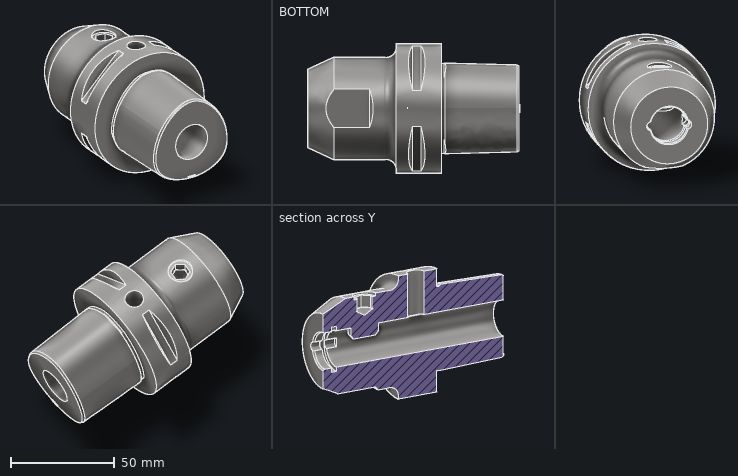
import cadquery as cq
import math


NOSE_DIA = 38.1
BODY_DIA = 50.0
NECK_DIA = 49.6
FLANGE_DIA = 63.0
NOSE_CONE_LENGTH = 12.8
BODY_END = 37.1
NECK_START = 38.0
FLANGE_START = 43.0
FLANGE_WIDTH = 22.0
FLANGE_END = FLANGE_START + FLANGE_WIDTH
NECK_FILLET = FLANGE_START - NECK_START

FLAT_HEIGHT = 23.2
FLAT_END = 30.0

REAR_FACE = 102.7
SHANK_RADIUS = 22.0
LOBE_HEIGHT = 1.2
LOBES = 3
SECTION_STEPS = 24
RADIUS_TAPER = 1 / 40
LAND_START = 66.6
LAND_END = 67.9
ROOT_INSET = 0.1
END_CHAMFER_LENGTH = 1.1
END_CHAMFER_DEPTH = 0.6
RELIEF_RADIUS = 22.5
RELIEF_LENGTH = 1.2

MARK_WIDTH = 4.0
MARK_HEIGHT = 0.6
MARK_DEPTH = 0.3
MARK_Z = -18.5

BORE_DIA = 18.3
BORE_ENTRY_DIA = 19.2
BORE_ENTRY_LENGTH = 1
GROOVE_DIA = 22.8
GROOVE_START = 5.2
GROOVE_WIDTH = 2.6
KEYWAY_DIA = 4.4
KEYWAY_OFFSET = 8.9
KEYWAY_LENGTH = 13.4

SCREW_X = 23.9
SCREW_HOLE_DIA = 11.8
SCREW_DIA = 16.0
SCREW_TOP = 23.4
SCREW_SHOULDER = 5.3
SCREW_TIP = 3.3
SCREW_TIP_DIA = 12.4
SOCKET_DIA = 9.3
SOCKET_DEPTH = 6.2
SOCKET_CONE_DEPTH = 2.6
SOCKET_TURN = 22

FLANGE_MIDDLE = 52.9
CHIP_HOLE_DIA = 9.0
CHIP_HOLE_FLOOR_DIA = 18.6
GRIP_FLOOR_DISTANCE = 27.6
GRIP_FLOOR_WIDTH = 4.1
GRIP_TOP_WIDTH = 8.0
GRIP_ANGLES = (45, 135, 225, 315)

EXTRA = 5.2


def x_cylinder(diameter, start, length):
    """Cylinder on the part axis."""
    return cq.Workplane("YZ", origin=(start, 0, 0)).circle(diameter / 2).extrude(length)


def z_cylinder(diameter, x, bottom, top):
    """Upright cylinder on the centre plane."""
    return cq.Workplane("XY", origin=(x, 0, bottom)).circle(diameter / 2).extrude(top - bottom)


def turned_body():
    """Nose, body, neck and flange as one solid of revolution."""
    neck_radius = NECK_DIA / 2
    arc_drop = NECK_FILLET * math.sqrt(0.5)
    profile = (
        cq.Workplane("XY")
        .lineTo(0, NOSE_DIA / 2)
        .lineTo(NOSE_CONE_LENGTH, BODY_DIA / 2)
        .lineTo(BODY_END, BODY_DIA / 2)
        .lineTo(NECK_START, neck_radius)
        .threePointArc(
            (NECK_START + arc_drop, neck_radius + NECK_FILLET - arc_drop),
            (FLANGE_START, neck_radius + NECK_FILLET),
        )
        .lineTo(FLANGE_START, FLANGE_DIA / 2)
        .lineTo(FLANGE_END, FLANGE_DIA / 2)
        .lineTo(FLANGE_END, 0)
        .close()
    )
    return profile.revolve(360, (0, 0, 0), (1, 0, 0))


def underside_flat():
    """Everything below the flat, ending in a 45 degree ramp."""
    depth = BODY_DIA / 2 - FLAT_HEIGHT + EXTRA
    return (
        cq.Workplane("XZ")
        .moveTo(-EXTRA, -FLAT_HEIGHT)
        .lineTo(FLAT_END, -FLAT_HEIGHT)
        .lineTo(FLAT_END + depth, -FLAT_HEIGHT - depth)
        .lineTo(-EXTRA, -FLAT_HEIGHT - depth)
        .close()
        .extrude(BODY_DIA / 2, both=True)
        .intersect(x_cylinder(BODY_DIA + EXTRA, -EXTRA, BODY_END + EXTRA))
    )


def lobed_section(x, inset=0):
    """Closed three-lobed wire, one lobe pointing to +Z and a joint midway between the lobes."""
    mean = SHANK_RADIUS - max(0, x - LAND_END) * RADIUS_TAPER - inset

    def point(angle):
        reach = mean + LOBE_HEIGHT * math.cos(LOBES * angle)
        slope = -LOBES * LOBE_HEIGHT * math.sin(LOBES * angle)
        up = reach * math.cos(angle) - slope * math.sin(angle)
        side = reach * math.sin(angle) + slope * math.cos(angle)
        return side, up

    pitch = 2 * math.pi / LOBES
    plane = cq.Workplane("YZ", origin=(x, 0, 0))
    curves = []
    for lobe in range(LOBES):
        start = (lobe - 0.5) * pitch
        angles = [start + pitch * step / SECTION_STEPS for step in range(SECTION_STEPS + 1)]
        points = [point(angle) for angle in angles]
        end_tangents = [(math.cos(angle), -math.sin(angle)) for angle in (start, start + pitch)]
        curves.append(plane.spline(points, tangents=end_tangents).val())
    return cq.Wire.assembleEdges(curves)


def lobed_shank():
    """Root, land, taper and end chamfer of the shank."""
    root = cq.Solid.makeLoft(
        [lobed_section(FLANGE_END, ROOT_INSET), lobed_section(LAND_START, ROOT_INSET)], True
    )
    sections = [
        lobed_section(LAND_START),
        lobed_section(LAND_END),
        lobed_section(REAR_FACE - END_CHAMFER_LENGTH),
        lobed_section(REAR_FACE, END_CHAMFER_DEPTH),
    ]
    return cq.Workplane(root).union(cq.Workplane(cq.Solid.makeLoft(sections, True)))


def root_relief():
    """Ring that turns the lobe tips down next to the flange, with a 45 degree exit."""
    relief_end = FLANGE_END + RELIEF_LENGTH
    return (
        cq.Workplane("XY")
        .moveTo(FLANGE_END, RELIEF_RADIUS)
        .lineTo(relief_end, RELIEF_RADIUS)
        .lineTo(relief_end + EXTRA, RELIEF_RADIUS + EXTRA)
        .lineTo(FLANGE_END, RELIEF_RADIUS + EXTRA)
        .close()
        .revolve(360, (0, 0, 0), (1, 0, 0))
    )


def rear_mark():
    """Small bar, half of it sunk into the rear face."""
    bar = cq.Workplane("XY").box(2 * MARK_DEPTH, MARK_WIDTH, MARK_HEIGHT)
    return bar.translate((REAR_FACE, 0, MARK_Z))


def bore_space():
    """Through bore with entry chamfer, inner groove and two side keyways."""
    bore = x_cylinder(BORE_DIA, 0, REAR_FACE)
    entry = (
        cq.Workplane("XY")
        .lineTo(0, BORE_ENTRY_DIA / 2)
        .lineTo(BORE_ENTRY_LENGTH, BORE_DIA / 2)
        .lineTo(BORE_ENTRY_LENGTH, 0)
        .close()
        .revolve(360, (0, 0, 0), (1, 0, 0))
    )
    groove = x_cylinder(GROOVE_DIA, GROOVE_START, GROOVE_WIDTH)
    keyways = (
        cq.Workplane("YZ")
        .pushPoints([(-KEYWAY_OFFSET, 0), (KEYWAY_OFFSET, 0)])
        .circle(KEYWAY_DIA / 2)
        .extrude(KEYWAY_LENGTH)
    )
    return bore.union(entry).union(groove).union(keyways)


def clamping_screw():
    """Upright set screw with a chamfered tip and a hexagon socket ending in a drill point."""
    screw = (
        cq.Workplane("XZ", origin=(SCREW_X, 0, 0))
        .moveTo(0, SCREW_TIP)
        .lineTo(SCREW_TIP_DIA / 2, SCREW_TIP)
        .lineTo(SCREW_DIA / 2, SCREW_SHOULDER)
        .lineTo(SCREW_DIA / 2, SCREW_TOP)
        .lineTo(0, SCREW_TOP)
        .close()
        .revolve(360, (0, 0, 0), (0, 1, 0))
    )
    socket_floor = SCREW_TOP - SOCKET_DEPTH
    socket = (
        cq.Workplane("XY", origin=(SCREW_X, 0, socket_floor))
        .transformed(rotate=(0, 0, SOCKET_TURN))
        .polygon(6, SOCKET_DIA)
        .extrude(SOCKET_DEPTH)
    )
    drill_point = cq.Workplane(
        cq.Solid.makeCone(
            SOCKET_DIA / 2,
            0,
            SOCKET_CONE_DEPTH,
            pnt=cq.Vector(SCREW_X, 0, socket_floor),
            dir=cq.Vector(0, 0, -1),
        )
    )
    return screw.cut(socket).cut(drill_point)


def chip_hole():
    """Blind hole in the top of the flange."""
    hole = z_cylinder(CHIP_HOLE_DIA, FLANGE_MIDDLE, 0, FLANGE_DIA / 2 + EXTRA)
    return hole.cut(x_cylinder(CHIP_HOLE_FLOOR_DIA, FLANGE_START, FLANGE_WIDTH))


def grip_slot(angle):
    """Straight slot with sloping flanks, cut across the flange rim."""
    depth = FLANGE_DIA / 2 - GRIP_FLOOR_DISTANCE
    return (
        cq.Workplane("XZ", origin=(FLANGE_MIDDLE, 0, GRIP_FLOOR_DISTANCE))
        .moveTo(-GRIP_FLOOR_WIDTH / 2, 0)
        .lineTo(GRIP_FLOOR_WIDTH / 2, 0)
        .lineTo(GRIP_TOP_WIDTH / 2, depth)
        .lineTo(-GRIP_TOP_WIDTH / 2, depth)
        .close()
        .extrude(FLANGE_DIA / 2, both=True)
        .rotate((0, 0, 0), (1, 0, 0), angle)
    )


body = turned_body().cut(underside_flat())
body = body.union(lobed_shank().cut(root_relief()))
body = body.union(rear_mark())
body = body.cut(bore_space())
body = body.cut(z_cylinder(SCREW_HOLE_DIA, SCREW_X, 0, BODY_DIA / 2 + EXTRA))
body = body.union(clamping_screw())
body = body.cut(chip_hole())
for grip_angle in GRIP_ANGLES:
    body = body.cut(grip_slot(grip_angle))

result = body